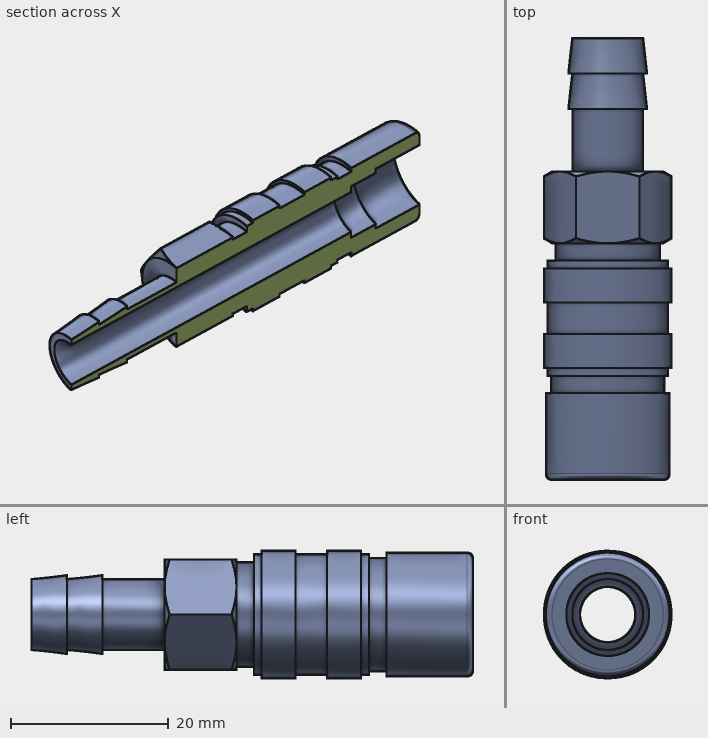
import cadquery as cq
import math


sleeve_length = 11.0
groove_length = 2.2
collar_lip = 1.0
ring_width = 4.3
ring_gap = 4.0
neck_length = 2.2
hex_length = 9.1
overall_length = 56.0

sleeve_diameter = 15.7
groove_diameter = 14.4
collar_diameter = 15.3
ring_diameter = 16.2
neck_diameter = 13.3
tail_diameter = 9.0
mouth_fillet = 0.8

hex_across_flats = 14.0
hex_across_corners = hex_across_flats / math.cos(math.radians(30))
hex_chamfer_angle = 30.0

barb_count = 2
barb_length = 4.5
barb_diameter = 10.0

socket_diameter = 10.5
socket_depth = 7.0
seat_diameter = 9.0
seat_depth = 11.0
bore_diameter = 7.0

collar_start = sleeve_length + groove_length
collar_length = 2 * collar_lip + 2 * ring_width + ring_gap
neck_start = collar_start + collar_length
hex_start = neck_start + neck_length
hex_end = hex_start + hex_length


def cylinder(diameter, start, length):
    """Solid cylinder on the Y axis running from start towards +Y."""
    return cq.Workplane("XZ", origin=(0, start, 0)).circle(diameter / 2).extrude(-length)


def make_sleeve():
    """Socket sleeve with a rounded mouth."""
    return cylinder(sleeve_diameter, 0, sleeve_length).faces("<Y").edges().fillet(mouth_fillet)


def make_collar():
    """Release collar carrying two grip rings."""
    collar = cylinder(collar_diameter, collar_start, collar_length)
    first_ring = collar_start + collar_lip
    for start in (first_ring, first_ring + ring_width + ring_gap):
        collar = collar.union(cylinder(ring_diameter, start, ring_width))
    return collar


def make_hex():
    """Hexagon with corners on the X axis, its corners turned off conically at both ends."""
    prism = (
        cq.Workplane("XZ", origin=(0, hex_start, 0))
        .polygon(6, hex_across_corners)
        .extrude(-hex_length)
    )
    corner_radius = hex_across_corners / 2
    end_radius = hex_across_flats / 2
    chamfer_length = (corner_radius - end_radius) * math.tan(math.radians(hex_chamfer_angle))
    envelope = (
        cq.Workplane("XY")
        .moveTo(0, hex_start)
        .lineTo(end_radius, hex_start)
        .lineTo(corner_radius, hex_start + chamfer_length)
        .lineTo(corner_radius, hex_end - chamfer_length)
        .lineTo(end_radius, hex_end)
        .lineTo(0, hex_end)
        .close()
        .revolve(360, (0, 0, 0), (0, 1, 0))
    )
    return prism.intersect(envelope)


def make_tail():
    """Hose tail with conical barbs that narrow towards the free end."""
    tail = cylinder(tail_diameter, hex_end, overall_length - hex_end)
    for index in range(barb_count):
        tip = overall_length - index * barb_length
        barb = (
            cq.Workplane("XY")
            .moveTo(0, tip)
            .lineTo(tail_diameter / 2, tip)
            .lineTo(barb_diameter / 2, tip - barb_length)
            .lineTo(0, tip - barb_length)
            .close()
            .revolve(360, (0, 0, 0), (0, 1, 0))
        )
        tail = tail.union(barb)
    return tail


def make_bore():
    """Socket, seat and through bore, all opening towards the mouth."""
    bore = cylinder(bore_diameter, 0, overall_length)
    bore = bore.union(cylinder(seat_diameter, 0, seat_depth))
    return bore.union(cylinder(socket_diameter, 0, socket_depth))


body = make_sleeve()
body = body.union(cylinder(groove_diameter, sleeve_length, groove_length))
body = body.union(make_collar())
body = body.union(cylinder(neck_diameter, neck_start, neck_length))
body = body.union(make_hex())
body = body.union(make_tail())
result = body.cut(make_bore())